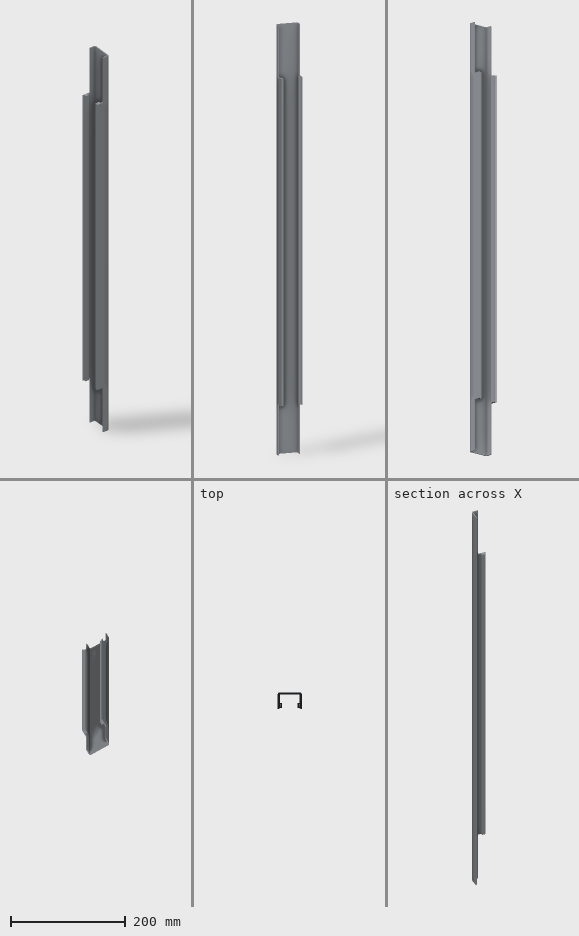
import cadquery as cq

length = 779.5
width = 40.5
depth = 27.0
sheet = 1.95
bend_radius = 3.0
edge_bevel = 1.5

end_wall_depth = 12.5
notch_length = 93.0

strip_thickness = 4.0
strip_depth = 7.0
strip_setback = 2.0

deep_length = length - 2 * notch_length
wall_edge = -depth / 2


def make_edge_bevel():
    """Triangular cutter for the inner corner of the +X wall's free edge."""
    inner_face = width / 2 - sheet
    corners = [
        (inner_face, wall_edge),
        (inner_face + edge_bevel, wall_edge),
        (inner_face, wall_edge + edge_bevel),
    ]
    return cq.Workplane("XY").polyline(corners).close().extrude(length / 2, both=True)


def make_channel():
    """U section with rounded outer bends and shallow walls at both ends."""
    outer = (
        cq.Workplane("XY")
        .box(width, depth, length)
        .edges("|Z and >Y")
        .fillet(bend_radius)
    )
    inside = cq.Workplane("XY").box(width - 2 * sheet, depth, length).translate((0, -sheet, 0))
    bevel = make_edge_bevel()
    channel = outer.cut(inside).cut(bevel).cut(bevel.mirror("YZ"))

    notch_depth = depth - end_wall_depth
    notch = cq.Workplane("XY").box(width, notch_depth, notch_length)
    for end in (-1, 1):
        notch_z = end * (length - notch_length) / 2
        channel = channel.cut(notch.translate((0, wall_edge + notch_depth / 2, notch_z)))
    return channel


def make_edge_strip(side):
    """Bar lying on the inner face of one wall; side is -1 or +1 along X."""
    strip_x = side * (width / 2 - sheet - strip_thickness / 2)
    strip_y = wall_edge + strip_setback + strip_depth / 2
    strip = cq.Workplane("XY").box(strip_thickness, strip_depth, deep_length)
    return strip.translate((strip_x, strip_y, 0))


channel = make_channel()
edge_strips = [make_edge_strip(side) for side in (-1, 1)]

result = cq.Compound.makeCompound([channel.val(), *[strip.val() for strip in edge_strips]])